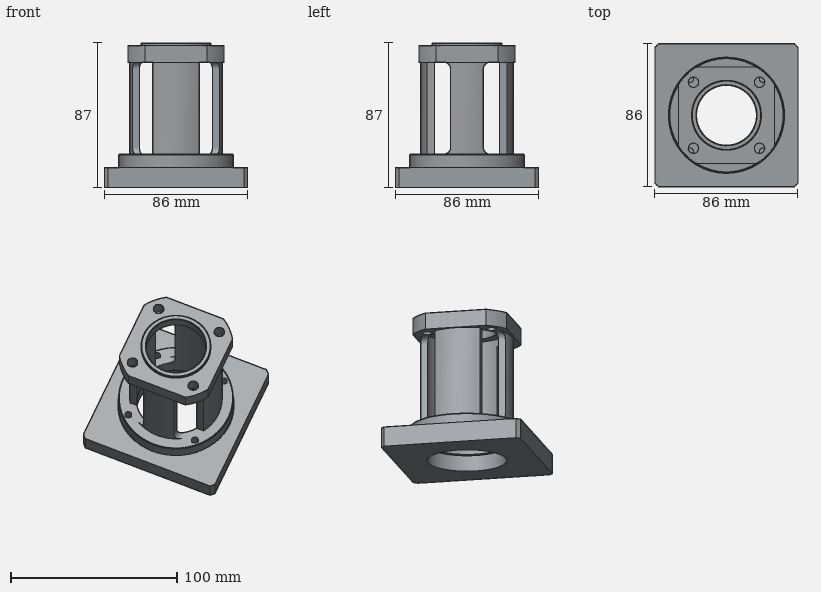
import cadquery as cq

total_height = 87.0
base_top = 12.0
flange_top = 20.1
plate_bottom = 75.3
plate_top = 85.35

base_side = 86.0
base_corner_chamfer = 2.3
seat_diameter = 69.9
seat_depth = 1.6
base_bore_chamfer = 0.9

flange_diameter = 69.0
flange_chamfer = 0.4
tube_diameter = 55.8
tube_bore_diameter = 48.0
tube_bore_top = 80.0
plate_side = 57.9

pilot_diameter = 42.0
pilot_chamfer = 0.4
pilot_bore_diameter = 36.0
pilot_bore_chamfer = 0.35

window_start_x = 14.0
window_start_y = 9.9
window_fillet = 4.0

plate_hole_diameter = 6.2
plate_hole_offset = 19.8
flange_hole_diameter = 4.2
flange_hole_offset = 21.8

seat_floor = base_top - seat_depth


def cylinder(diameter, bottom, top):
    return cq.Workplane("XY").workplane(offset=bottom).circle(diameter / 2).extrude(top - bottom)


def make_base():
    base = cq.Workplane("XY").rect(base_side, base_side).extrude(base_top)
    base = base.edges("|Z").chamfer(base_corner_chamfer)
    base = base.cut(cylinder(seat_diameter, seat_floor, base_top))
    bore_radius = tube_bore_diameter / 2
    countersink = cq.Solid.makeCone(
        bore_radius,
        bore_radius + base_bore_chamfer,
        base_bore_chamfer,
        pnt=cq.Vector(0, 0, seat_floor - base_bore_chamfer),
    )
    return base.cut(cq.Workplane(countersink))


def make_flange():
    flange = cylinder(flange_diameter, seat_floor, flange_top)
    return flange.faces(">Z").edges().chamfer(flange_chamfer)


def make_plate():
    """Square plate whose corners are rounded by the flange diameter."""
    thickness = plate_top - plate_bottom
    square = cq.Workplane("XY").workplane(offset=plate_bottom).rect(plate_side, plate_side).extrude(thickness)
    return square.intersect(cylinder(flange_diameter, plate_bottom, plate_top))


def make_pilot():
    pilot = cylinder(pilot_diameter, plate_bottom, total_height)
    return pilot.faces(">Z").edges().chamfer(pilot_chamfer)


def make_window(side_x, side_y):
    """Corner cutter, rounded along the edges nearest the XZ plane."""
    length = tube_diameter / 2
    cutter = cq.Workplane("XY").box(length, length, plate_bottom - flange_top, centered=False)
    cutter = cutter.faces("<Y").edges("|X").fillet(window_fillet)
    cutter = cutter.translate((window_start_x, window_start_y, flange_top))
    if side_x < 0:
        cutter = cutter.mirror("YZ")
    if side_y < 0:
        cutter = cutter.mirror("XZ")
    return cutter


def corner_holes(diameter, offset, bottom, top):
    return (
        cq.Workplane("XY")
        .workplane(offset=bottom)
        .rect(2 * offset, 2 * offset, forConstruction=True)
        .vertices()
        .circle(diameter / 2)
        .extrude(top - bottom)
    )


tube = cylinder(tube_diameter, flange_top, plate_bottom)
for side_x in (-1, 1):
    for side_y in (-1, 1):
        tube = tube.cut(make_window(side_x, side_y))

body = make_base().union(make_flange()).union(tube).union(make_plate()).union(make_pilot())

body = body.cut(cylinder(tube_bore_diameter, 0, tube_bore_top))
body = body.cut(cylinder(pilot_bore_diameter, tube_bore_top, total_height))
body = body.faces(">Z").edges("%CIRCLE").edges(cq.selectors.RadiusNthSelector(0)).chamfer(pilot_bore_chamfer)

body = body.cut(corner_holes(plate_hole_diameter, plate_hole_offset, plate_bottom, plate_top))
result = body.cut(corner_holes(flange_hole_diameter, flange_hole_offset, seat_floor, flange_top))